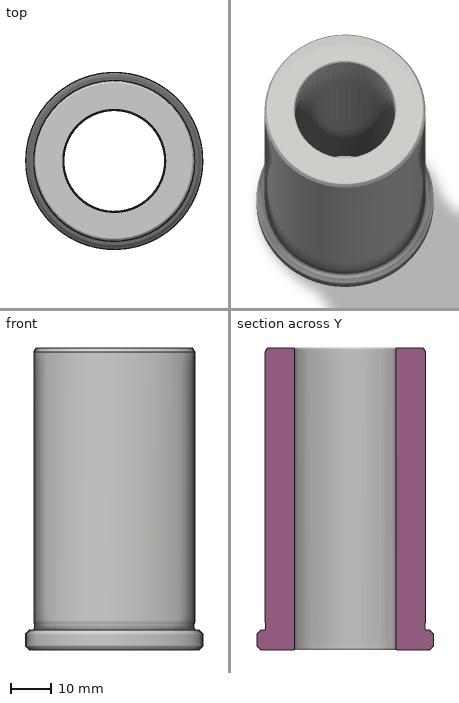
import cadquery as cq
import math

total_height = 75.0
body_diameter = 40.0
bore_diameter = 25.0

flange_diameter = 44.0
flange_height = 5.0
flange_chamfer = 1.0

lead_in_height = 1.0
lead_in_angle = 30.0

edge_rounding = 0.3

groove_diameter = 39.7
groove_top = flange_height + 2.0
groove_ramp_height = 0.5
groove_corner_radius = 0.4

bore_chamfer = 0.3

body_radius = body_diameter / 2
lead_in_width = lead_in_height * math.tan(math.radians(lead_in_angle))
bore_radius = bore_diameter / 2
flange_radius = flange_diameter / 2
groove_radius = groove_diameter / 2


def corner_arc_middle():
    """Middle point (radius, height) of the concave arc between groove and flange."""
    offset = groove_corner_radius * (1 - math.cos(math.pi / 4))
    return groove_radius + offset, flange_height + offset


def wall_section():
    """Half section of the bushing wall in the XZ plane: X is radius, Y is height."""
    return (
        cq.Workplane("XZ")
        .moveTo(bore_radius + bore_chamfer, 0)
        .lineTo(flange_radius - flange_chamfer, 0)
        .lineTo(flange_radius, flange_chamfer)
        .lineTo(flange_radius, flange_height - flange_chamfer)
        .lineTo(flange_radius - flange_chamfer, flange_height)
        .lineTo(groove_radius + groove_corner_radius, flange_height)
        .threePointArc(corner_arc_middle(), (groove_radius, flange_height + groove_corner_radius))
        .lineTo(groove_radius, groove_top - groove_ramp_height)
        .lineTo(body_radius, groove_top)
        .lineTo(body_radius, total_height - lead_in_height)
        .lineTo(body_radius - lead_in_width, total_height)
        .lineTo(bore_radius + bore_chamfer, total_height)
        .lineTo(bore_radius, total_height - bore_chamfer)
        .lineTo(bore_radius, bore_chamfer)
        .close()
    )


def rings_at(bushing, places):
    """Circular edges of the bushing at the given (radius, height) places."""
    tolerance = 1e-4
    rings = []
    for edge in bushing.edges("%CIRCLE").vals():
        for radius, height in places:
            same_radius = abs(edge.radius() - radius) < tolerance
            same_height = abs(edge.Center().z - height) < tolerance
            if same_radius and same_height:
                rings.append(edge)
    return bushing.newObject(rings)


def round_outer_edges(bushing):
    """Round the four chamfer edges of the flange and the upper rim of the body."""
    places = [
        (flange_radius - flange_chamfer, 0),
        (flange_radius, flange_chamfer),
        (flange_radius, flange_height - flange_chamfer),
        (flange_radius - flange_chamfer, flange_height),
        (body_radius - lead_in_width, total_height),
    ]
    return rings_at(bushing, places).fillet(edge_rounding)


sharp_bushing = wall_section().revolve(360, (0, 0, 0), (0, 1, 0))
result = round_outer_edges(sharp_bushing)